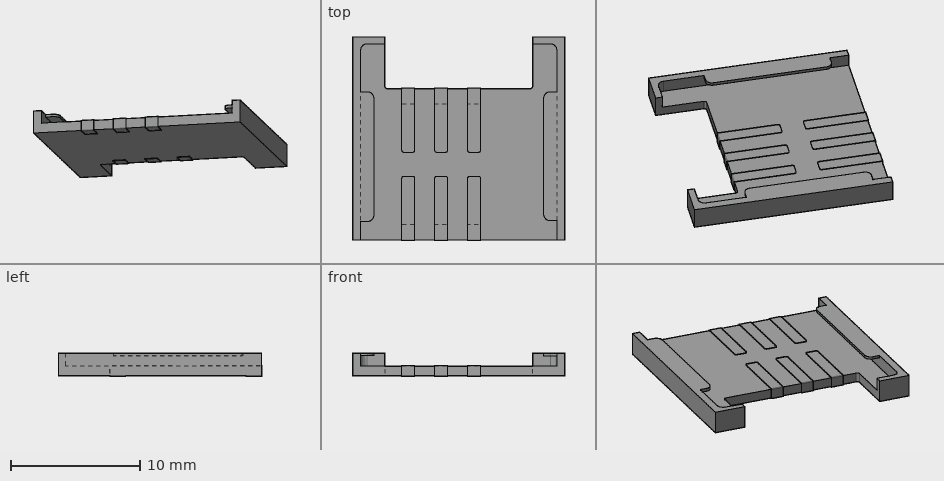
import cadquery as cq

width = 16.4
depth = 15.7
height = 1.75
floor_thickness = 0.75

side_wall = 0.62
back_wall = 0.54
pocket_corner_radius = 0.5

arm_width = 2.5
notch_depth = 4.0
notch_corner_radius = 0.2

lip_overhang = 1.02
lip_back_setback = 4.25
lip_corner_radius = 0.5
left_lip_thickness = 0.2
left_lip_front_setback = 1.43
right_lip_thickness = 0.25
right_lip_front_setback = 1.5

contact_thickness = 0.05
contact_width = 1.0
contact_length = 4.97
contact_foot_length = 1.25
contact_corner_radius = 0.16
contact_pitch = 2.55
contact_count = 3
middle_contact_x = -1.36

notch_edge_y = depth - notch_depth


def block(x_min, x_max, y_min, y_max, z_min, z_max):
    """Axis-aligned block between the given limits."""
    size = (x_max - x_min, y_max - y_min, z_max - z_min)
    return cq.Workplane("XY").box(*size, centered=False).translate((x_min, y_min, z_min))


def make_tray():
    """Floor with side and back walls, open at the front and notched at the back."""
    tray = block(-width / 2, width / 2, 0, depth, 0, height)

    pocket_x = width / 2 - side_wall
    pocket = block(-pocket_x, pocket_x, 0, depth - back_wall, floor_thickness, height)
    pocket = pocket.edges("|Z and >Y").fillet(pocket_corner_radius)

    notch_x = width / 2 - arm_width
    notch = block(-notch_x, notch_x, notch_edge_y, depth, 0, height)
    notch = notch.edges("|Z and <Y").fillet(notch_corner_radius)

    return tray.cut(pocket).cut(notch)


def make_lip(side, thickness, front_setback):
    """Lip on one side wall; side is -1 for the left wall and 1 for the right wall."""
    outer_x = side * width / 2
    inner_x = side * (width / 2 - side_wall - lip_overhang)
    lip = block(
        min(outer_x, inner_x), max(outer_x, inner_x),
        front_setback, depth - lip_back_setback,
        height - thickness, height,
    )
    inner_edges = "|Z and <X" if side > 0 else "|Z and >X"
    return lip.edges(inner_edges).fillet(lip_corner_radius)


def make_contact(center_x, edge_y, inward):
    """Clip around a floor edge at edge_y; inward is the Y direction (1 or -1) into the floor."""
    tip_y = edge_y - inward * contact_thickness
    top_z = floor_thickness + contact_thickness
    outer_side, inner_side = ("<Y", ">Y") if inward > 0 else (">Y", "<Y")

    def strip(length, z_min, z_max):
        end_y = tip_y + inward * length
        return block(
            center_x - contact_width / 2, center_x + contact_width / 2,
            min(tip_y, end_y), max(tip_y, end_y),
            z_min, z_max,
        )

    foot = strip(contact_foot_length, -contact_thickness, top_z)
    foot = foot.edges("|X and " + outer_side).fillet(contact_thickness)

    blade = strip(contact_length, floor_thickness, top_z)
    blade = blade.cut(strip(contact_thickness, floor_thickness, top_z))
    blade = blade.edges("|Z and " + inner_side).fillet(contact_corner_radius)
    return foot.union(blade)


result = make_tray()
result = result.union(make_lip(-1, left_lip_thickness, left_lip_front_setback))
result = result.union(make_lip(1, right_lip_thickness, right_lip_front_setback))

for index in range(contact_count):
    contact_x = middle_contact_x + (index - (contact_count - 1) / 2) * contact_pitch
    result = result.union(make_contact(contact_x, 0, 1))
    result = result.union(make_contact(contact_x, notch_edge_y, -1))